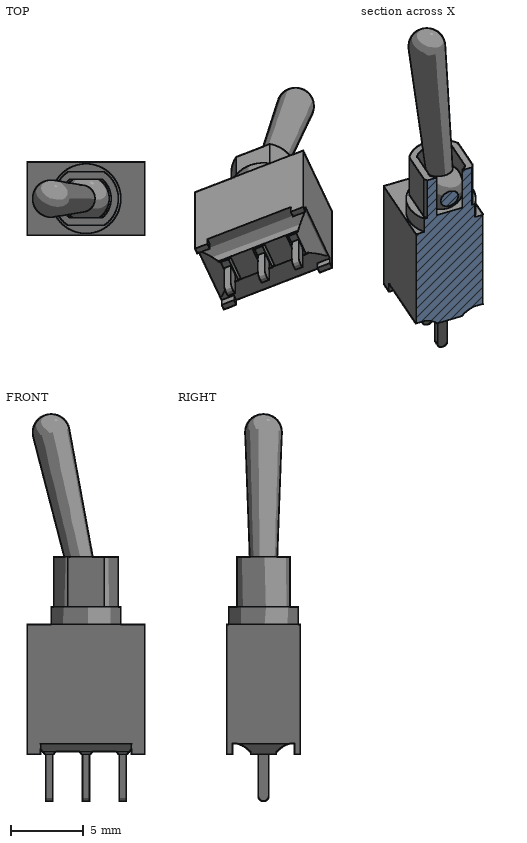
import cadquery as cq
import math

body_length = 8.13
body_width = 5.08
body_bottom = 3.24
body_top = 12.22
recess_length = 6.25
recess_width = 4.28
recess_depth = 0.75
recess_ceiling = body_bottom + recess_depth

collar_diameter = 4.8
collar_top = 13.42
bushing_diameter = 4.47
bushing_flats = 3.7
bushing_top = 16.87
bore_diameter = 3.48
bore_flats = 2.65

total_height = 26.75
pivot_height = 14.57
pivot_ball_radius = 1.6
lever_tip_radius = 1.28
lever_base_radius = 0.88
lever_tip_offset = 2.4
lever_rise = total_height - lever_tip_radius - pivot_height
lever_length = math.hypot(lever_tip_offset, lever_rise)
lever_tilt = math.degrees(math.atan2(lever_tip_offset, lever_rise))

pin_pitch = 2.55
pin_thickness = 0.5
pin_width = 0.75
pin_positions = [-pin_pitch, 0, pin_pitch]

resin_bottom_width = 1.87
resin_bottom = 3.42
flank_spread = 0.94
flank_hollow = 0.067
mound_length = 0.9
mound_width = 1.76
mound_tip_length = 0.6
resin_bottom_length = 2 * pin_pitch + mound_length


def make_body():
    height = body_top - body_bottom
    body = cq.Workplane("XY").workplane(offset=body_bottom).rect(body_length, body_width).extrude(height)
    base = cq.Workplane("XY").workplane(offset=body_bottom)
    body = body.cut(base.rect(recess_length, body_width).extrude(recess_depth))
    return body.cut(base.rect(body_length, recess_width).extrude(recess_depth))


def double_flat(diameter, across_flats, bottom, top):
    """Upright cylinder with flats facing -Y and +Y."""
    plane = cq.Workplane("XY").workplane(offset=bottom)
    cylinder = plane.circle(diameter / 2).extrude(top - bottom)
    return cylinder.intersect(plane.rect(diameter, across_flats).extrude(top - bottom))


def make_bushing():
    collar = cq.Workplane("XY").workplane(offset=body_top).circle(collar_diameter / 2)
    collar = collar.extrude(collar_top - body_top)
    sleeve = double_flat(bushing_diameter, bushing_flats, collar_top, bushing_top)
    bore = double_flat(bore_diameter, bore_flats, collar_top, bushing_top)
    return collar.union(sleeve.cut(bore))


def make_lever():
    tip_arc = lever_tip_radius * math.sqrt(0.5)
    lever = (
        cq.Workplane("XZ")
        .lineTo(lever_base_radius, 0)
        .lineTo(lever_tip_radius, lever_length)
        .threePointArc((tip_arc, lever_length + tip_arc), (0, lever_length + lever_tip_radius))
        .close()
        .revolve(360, (0, 0), (0, 1))
    )
    ball = cq.Workplane("XY").sphere(pivot_ball_radius)
    lever = lever.rotate((0, 0, 0), (0, 1, 0), -lever_tilt)
    return lever.union(ball).translate((0, 0, pivot_height))


def hollow_flank_prism(plane, bottom_half, reach):
    """Prism normal to the plane, its section widening upward along two hollow flanks."""
    top_half = bottom_half + flank_spread
    middle_half = bottom_half + flank_spread / 2 - flank_hollow
    middle_height = (recess_ceiling + resin_bottom) / 2 + flank_hollow
    return (
        cq.Workplane(plane)
        .moveTo(-top_half, recess_ceiling)
        .threePointArc((-middle_half, middle_height), (-bottom_half, resin_bottom))
        .lineTo(bottom_half, resin_bottom)
        .threePointArc((middle_half, middle_height), (top_half, recess_ceiling))
        .close()
        .extrude(reach, both=True)
    )


def make_resin():
    along_x = hollow_flank_prism("YZ", resin_bottom_width / 2, body_length / 2)
    along_y = hollow_flank_prism("XZ", resin_bottom_length / 2, body_width / 2)
    return along_x.intersect(along_y)


def make_pin(x):
    tip_radius = pin_width / 2
    pin = (
        cq.Workplane("YZ")
        .moveTo(-tip_radius, recess_ceiling)
        .lineTo(-tip_radius, tip_radius)
        .threePointArc((0, 0), (tip_radius, tip_radius))
        .lineTo(tip_radius, recess_ceiling)
        .close()
        .extrude(pin_thickness / 2, both=True)
    )
    mound = (
        cq.Workplane("XZ")
        .moveTo(-mound_length / 2, resin_bottom)
        .lineTo(-mound_tip_length / 2, body_bottom)
        .lineTo(mound_tip_length / 2, body_bottom)
        .lineTo(mound_length / 2, resin_bottom)
        .close()
        .extrude(mound_width / 2, both=True)
    )
    return pin.union(mound).translate((x, 0, 0))


result = make_body().union(make_bushing()).union(make_lever()).union(make_resin())
for pin_x in pin_positions:
    result = result.union(make_pin(pin_x))